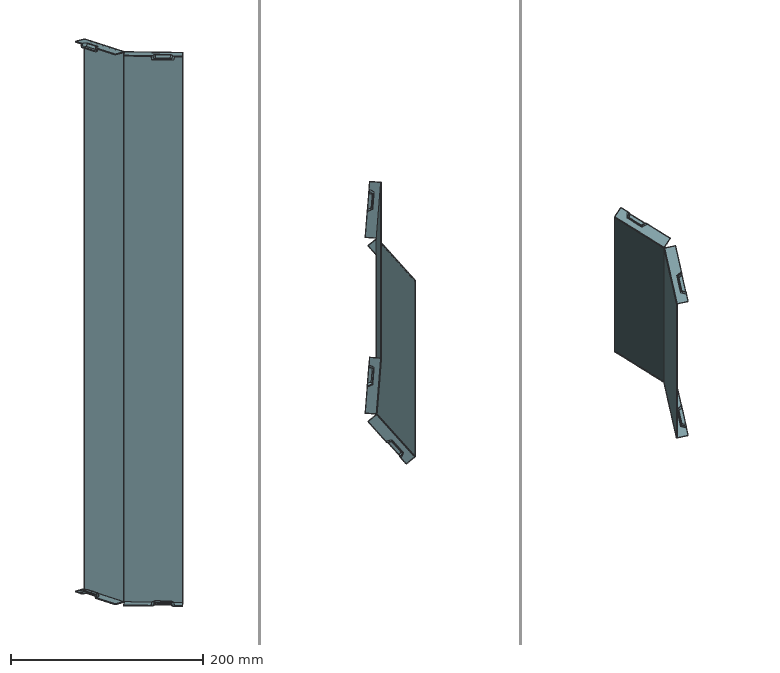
import cadquery as cq
import math

height = 600.0
leg = 61.0
flange_depth = 12.5
sheet = 1.0
bend_angle = 45.0

dimple_center = 20.5
dimple_length = 25.0
dimple_reach = 6.0
dimple_drop = 3.5
dimple_slope = 1.0
dimple_taper = 3.0

front_overshoot = 3.0


def dimple_solid(offset):
    """Half frustum below Z = 0; offset moves its walls outward and its floor down."""
    overshoot = front_overshoot if offset == 0 else 0
    half_length = dimple_length / 2 - sheet + offset
    reach = dimple_reach - sheet + offset

    def outline(level, inset):
        return (
            cq.Workplane("XY", origin=(dimple_center, 0, level))
            .moveTo(-half_length + inset, -overshoot)
            .lineTo(half_length - inset, -overshoot)
            .lineTo(half_length - dimple_taper - inset, reach - inset)
            .lineTo(-half_length + dimple_taper + inset, reach - inset)
            .close()
        )

    lower = outline(-dimple_drop - offset, dimple_slope).wires().val()
    upper = outline(0, 0).wires().val()
    return cq.Workplane(cq.Solid.makeLoft([lower, upper], True))


def flange():
    """Top flange of the first panel, with its dimple pressed inward."""
    plate = cq.Workplane("XY").box(leg, flange_depth, sheet, centered=False).translate((0, 0, -sheet))
    return plate.union(dimple_solid(sheet)).cut(dimple_solid(0)).translate((0, 0, height))


def flange_pair():
    top = flange()
    return top.union(top.mirror("XY", (0, 0, height / 2)))


def bent_panel():
    """Two panels of constant thickness joined by a mitred bend."""
    angle = math.radians(bend_angle)
    along = (math.cos(angle), math.sin(angle))
    front = flange_depth - sheet
    miter = sheet * math.tan(angle / 2)
    end = (leg + leg * along[0], flange_depth + leg * along[1])
    end_front = (end[0] + sheet * along[1], end[1] - sheet * along[0])
    points = [(0, front), (leg + miter, front), end_front, end, (leg, flange_depth), (0, flange_depth)]
    return cq.Workplane("XY").polyline(points).close().extrude(height)


first_flanges = flange_pair()
second_flanges = first_flanges.mirror("YZ", (leg, 0, 0)).rotate(
    (leg, flange_depth, 0), (leg, flange_depth, 1), bend_angle
)
result = bent_panel().union(first_flanges).union(second_flanges)